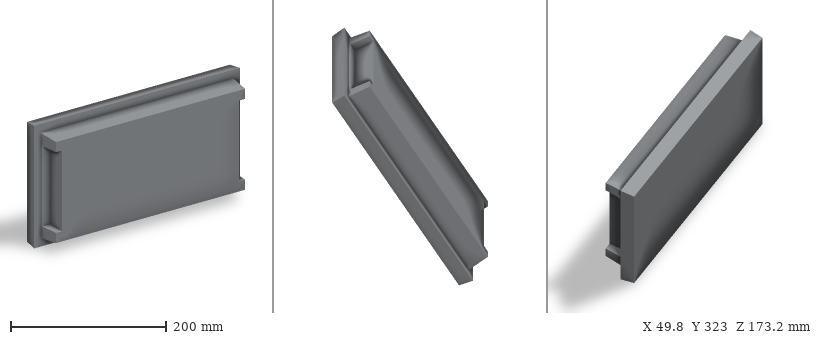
import cadquery as cq
import math

depth = 49.8
length = 323.0
height = 173.2

bezel_depth = 19.5
body_depth = depth - bezel_depth
bezel_draft = 6.0
body_draft = 5.0

body_length = 302.5
body_height = 148.0

recess_height = 114.0
recess_gap = 3.0
recess_depth = 9.7


def drafted_block(size_y, size_z, reach, draft):
    """Rectangular block narrowing along X from the bezel-body joint."""
    plane = cq.Workplane("YZ", origin=(bezel_depth, 0, 0))
    return plane.rect(size_y, size_z).extrude(reach, taper=draft)


bezel = drafted_block(length, height, -bezel_depth, bezel_draft)

body = drafted_block(body_length, body_height, body_depth, body_draft)

rear_length = body_length - 2 * body_depth * math.tan(math.radians(body_draft))
recess_floor = rear_length / 2 - recess_depth
recess_start = bezel_depth + recess_gap
for side in (-1, 1):
    recess = cq.Workplane("XY").box(
        depth - recess_start,
        length / 2 - recess_floor,
        recess_height,
        centered=(False, True, True),
    )
    recess_center = side * (length / 2 + recess_floor) / 2
    body = body.cut(recess.translate((recess_start, recess_center, 0)))

result = bezel.union(body)